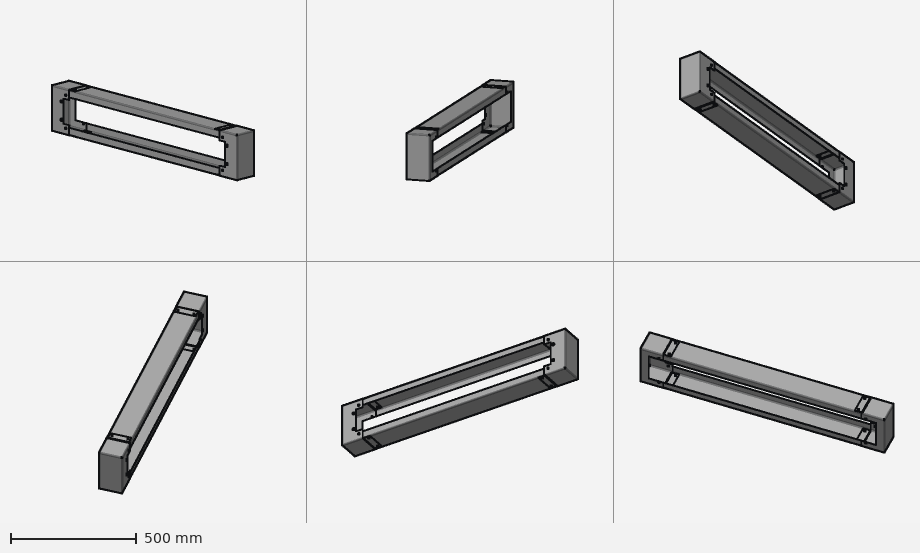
import cadquery as cq

LENGTH = 1050.0
DEPTH = 100.0
HEIGHT = 190.0

SHEET = 1.5
BEND_RADIUS = 4.0
INNER_BEND_RADIUS = BEND_RADIUS - SHEET

CAP_LENGTH = 100.0
CAP_OPEN_X = LENGTH / 2 - CAP_LENGTH
RAIL_REACH = 33.0
RAIL_EDGE_HEIGHT = HEIGHT / 2 - RAIL_REACH
RAIL_STEP = 0.5
RAIL_DEPTH = DEPTH - 2 * RAIL_STEP
RAIL_TOP = HEIGHT / 2 - RAIL_STEP

INNER_DEPTH = DEPTH - 2 * SHEET
INNER_HEIGHT = HEIGHT - 2 * SHEET
FRONT_NOTCH_LENGTH = 32.0
FRONT_NOTCH_HEIGHT = 104.0
BACK_NOTCH_LENGTH = 63.0
BACK_NOTCH_HEIGHT = 2 * RAIL_EDGE_HEIGHT
SIDE_HOLE_DIAMETER = 7.0
SIDE_HOLE_INSET = 19.0
SIDE_HOLE_Z = 68.0
KEYHOLE_DIAMETER = 10.0
KEYHOLE_SLOT_WIDTH = 2.0
KEYHOLE_INSET = 12.0
KEYHOLE_Z = 38.0

PLATE_LENGTH = 34.0
PLATE_WIDTH = 88.0
PLATE_OVERLAP = 3.0
SCREW_HOLE_DIAMETER = 7.0
SCREW_HOLE_X = 406.0
SCREW_HOLE_Y = 34.0


def box_between(x_min, x_max, depth, height):
    """Block between two X positions, centred on the X axis."""
    return cq.Workplane("XY").box(x_max - x_min, depth, height).translate(((x_min + x_max) / 2, 0, 0))


def rounded_bar(x_min, x_max, depth, height, radius):
    """Block with its four edges along X rounded."""
    return box_between(x_min, x_max, depth, height).edges("|X").fillet(radius)


def rounded_cap_block(x_end, depth, height, radius):
    """Block closed at x_end, with its bends along X, Y and Z mitred at the corners."""
    block = rounded_bar(CAP_OPEN_X, x_end, depth, height, radius)
    for direction in ("|Y", "|Z"):
        plain = box_between(CAP_OPEN_X, x_end, depth, height)
        block = block.intersect(plain.edges(direction).edges(">X").fillet(radius))
    return block


def cap_corners():
    """Ends of the four bends along X, which run straight on to the inner face of the end wall."""
    x_start = LENGTH / 2 - BEND_RADIUS
    x_end = LENGTH / 2 - SHEET
    bends = rounded_bar(x_start, x_end, DEPTH, HEIGHT, BEND_RADIUS)
    bends = bends.cut(rounded_bar(x_start, x_end, INNER_DEPTH, INNER_HEIGHT, INNER_BEND_RADIUS))
    bends = bends.cut(box_between(x_start, x_end, DEPTH - 2 * BEND_RADIUS, HEIGHT))
    return bends.cut(box_between(x_start, x_end, DEPTH, HEIGHT - 2 * BEND_RADIUS))


def cap_shell():
    """Tray of bent sheet, open towards the rails."""
    end = LENGTH / 2
    outside = rounded_cap_block(end, DEPTH, HEIGHT, BEND_RADIUS)
    inside = rounded_cap_block(end - SHEET, INNER_DEPTH, INNER_HEIGHT, INNER_BEND_RADIUS)
    return outside.cut(inside).union(cap_corners())


def cap_notches():
    """Cutters for the notches in the front and back walls, each reaching in to the middle of the cap."""
    front = box_between(CAP_OPEN_X, CAP_OPEN_X + FRONT_NOTCH_LENGTH, DEPTH, FRONT_NOTCH_HEIGHT)
    back = box_between(CAP_OPEN_X, CAP_OPEN_X + BACK_NOTCH_LENGTH, DEPTH, BACK_NOTCH_HEIGHT)
    return [front.translate((0, -DEPTH / 2, 0)), back.translate((0, DEPTH / 2, 0))]


def side_hole(z):
    """Cutter for a hole through the front and back walls."""
    outline = cq.Workplane("XZ").center(CAP_OPEN_X + SIDE_HOLE_INSET, z).circle(SIDE_HOLE_DIAMETER / 2)
    return outline.extrude(DEPTH, both=True)


def keyhole(z):
    """Cutter for a front-wall hole with a narrow slot that opens into the front notch."""
    notch_x = CAP_OPEN_X + FRONT_NOTCH_LENGTH
    hole_x = notch_x + KEYHOLE_INSET
    hole = cq.Workplane("XZ").center(hole_x, z).circle(KEYHOLE_DIAMETER / 2).extrude(DEPTH)
    slot = box_between(notch_x, hole_x, DEPTH, KEYHOLE_SLOT_WIDTH).translate((0, -DEPTH / 2, z))
    return hole.union(slot)


def make_right_cap():
    cap = cap_shell()
    for notch in cap_notches():
        cap = cap.cut(notch)
    for side in (-1, 1):
        cap = cap.cut(side_hole(side * SIDE_HOLE_Z))
        cap = cap.cut(keyhole(side * KEYHOLE_Z))
    return cap


def screw_holes():
    """Vertical cutters for the screws through the upper rail and its joint plates."""
    points = [(x * SCREW_HOLE_X, y * SCREW_HOLE_Y) for x in (-1, 1) for y in (-1, 1)]
    return cq.Workplane("XY").pushPoints(points).circle(SCREW_HOLE_DIAMETER / 2).extrude(HEIGHT)


def make_upper_rail():
    """Channel with its open side down: the upper part of a rounded tube."""
    tube = rounded_bar(-CAP_OPEN_X, CAP_OPEN_X, RAIL_DEPTH, 2 * RAIL_TOP, BEND_RADIUS)
    bore_depth = RAIL_DEPTH - 2 * SHEET
    bore_height = 2 * (RAIL_TOP - SHEET)
    bore = rounded_bar(-CAP_OPEN_X, CAP_OPEN_X, bore_depth, bore_height, INNER_BEND_RADIUS)
    below_edges = box_between(-CAP_OPEN_X, CAP_OPEN_X, DEPTH, HEIGHT)
    below_edges = below_edges.translate((0, 0, RAIL_EDGE_HEIGHT - HEIGHT / 2))
    return tube.cut(bore).cut(below_edges).cut(screw_holes())


def make_upper_right_plate():
    """Strip lying against the inner face of the upper rail."""
    outer_x = CAP_OPEN_X + PLATE_OVERLAP
    plate = box_between(outer_x - PLATE_LENGTH, outer_x, PLATE_WIDTH, SHEET)
    centre_z = RAIL_TOP - SHEET - SHEET / 2
    return plate.translate((0, 0, centre_z)).cut(screw_holes())


right_cap = make_right_cap()
end_caps = [right_cap, right_cap.mirror("YZ")]

upper_rail = make_upper_rail()
rails = [upper_rail, upper_rail.mirror("XY")]

upper_right_plate = make_upper_right_plate()
joint_plates = []
for upper_plate in (upper_right_plate, upper_right_plate.mirror("YZ")):
    joint_plates += [upper_plate, upper_plate.mirror("XY")]

result = cq.Compound.makeCompound([body.val() for body in end_caps + rails + joint_plates])